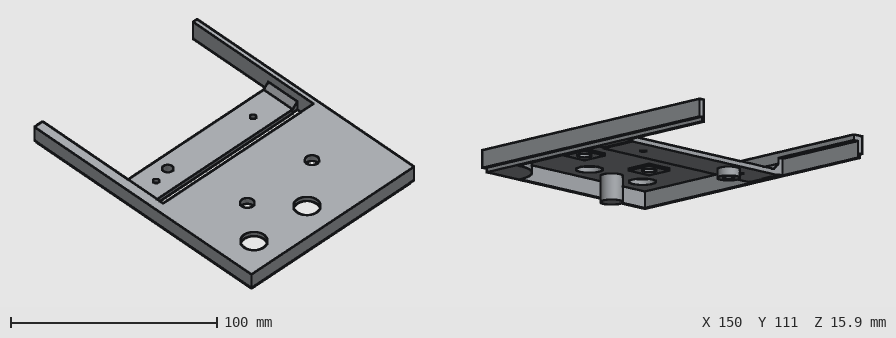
import cadquery as cq
import math

LENGTH = 150.0
WIDTH = 111.0
TOTAL_HEIGHT = 15.9
SKIN = 2.8
SKIRT_DEPTH = 8.8
LIP_DEPTH = 11.1
LIP_INSET = 1.5

BAY_LENGTH = 83.2
FLANGE_WIDTH = 2 * SKIN

BRIDGE_X = 52.0
BRIDGE_WIDTH = 20.1
BRIDGE_TOP = 8.8
BRIDGE_BOTTOM = 11.5
BRIDGE_CHAMFER = 3.1
BRIDGE_PAD_INSET = 2 * SKIN
BRIDGE_HOLE_DIAMETER = 3.1
BRIDGE_HOLE_X = 62.4
BRIDGE_HOLES_Y = (32.1, -34.0)

HOLLOW_PIN_DIAMETER = 11.0
HOLLOW_PIN_BORE = 5.5
HOLLOW_PIN_CENTER = (60.0, -23.7)
SOLID_PIN_DIAMETER = 11.0
SOLID_PIN_CENTER = (135.5, -18.6)

LARGE_HOLE_DIAMETER = 13.2
LARGE_HOLE_CENTERS = ((133.6, -1.5), (133.6, -37.6))
SMALL_HOLE_DIAMETER = 7.0
SMALL_HOLE_CENTERS = ((111.7, 23.5), (111.7, -20.5))
HOLE_PAD_SIZE = 14.1
HOLE_PAD_HEIGHT = 1.0

POST_RADIUS = 19.3
POST_CENTER_Y = 51.6
POST_FLAT_EDGE_Y = 48.7

INNER_X = LENGTH - SKIN
INNER_Y = WIDTH / 2 - SKIN
FLANGE_EDGE_Y = FLANGE_WIDTH - WIDTH / 2


def block(x_range, y_range, depth_range):
    """Box between two X values, two Y values and two depths below the top face."""
    x_min, x_max = x_range
    y_min, y_max = y_range
    top, bottom = depth_range
    size = (x_max - x_min, y_max - y_min, bottom - top)
    return cq.Workplane("XY").box(*size, centered=False).translate((x_min, y_min, -bottom))


def cylinder(center, diameter, top, bottom):
    """Vertical cylinder between two depths below the top face."""
    return (
        cq.Workplane("XY", origin=(*center, -bottom))
        .circle(diameter / 2)
        .extrude(bottom - top)
    )


def make_shell():
    """Plate with two rails and a closed end, open underneath."""
    lip_y = WIDTH / 2 - LIP_INSET
    skirt = block((0, LENGTH), (-WIDTH / 2, WIDTH / 2), (0, SKIRT_DEPTH))
    lip = block((0, LENGTH - LIP_INSET), (-lip_y, lip_y), (SKIRT_DEPTH, LIP_DEPTH))
    cavity = block((0, INNER_X), (-INNER_Y, INNER_Y), (SKIN, LIP_DEPTH))
    bay = block((0, BAY_LENGTH), (FLANGE_EDGE_Y, INNER_Y), (0, SKIN))
    return skirt.union(lip).cut(cavity).cut(bay)


def make_bridge():
    """Strip across the bay with sloped ends and an upright under the -Y flange."""
    pad_y = WIDTH / 2 - BRIDGE_PAD_INSET
    slope_top = -BRIDGE_TOP + BRIDGE_CHAMFER
    profile = [
        (-INNER_Y, -SKIN),
        (-INNER_Y, -LIP_DEPTH),
        (-pad_y, -LIP_DEPTH),
        (-pad_y, -BRIDGE_BOTTOM),
        (pad_y, -BRIDGE_BOTTOM),
        (pad_y, -LIP_DEPTH),
        (INNER_Y, -LIP_DEPTH),
        (INNER_Y, slope_top),
        (INNER_Y - BRIDGE_CHAMFER, -BRIDGE_TOP),
        (FLANGE_EDGE_Y + BRIDGE_CHAMFER, -BRIDGE_TOP),
        (FLANGE_EDGE_Y, slope_top),
        (FLANGE_EDGE_Y, -SKIN),
    ]
    strip = cq.Workplane("YZ", origin=(BRIDGE_X, 0, 0)).polyline(profile).close().extrude(BRIDGE_WIDTH)
    strip = strip.union(cylinder(HOLLOW_PIN_CENTER, HOLLOW_PIN_DIAMETER, BRIDGE_TOP, TOTAL_HEIGHT))
    strip = strip.cut(cylinder(HOLLOW_PIN_CENTER, HOLLOW_PIN_BORE, BRIDGE_TOP, TOTAL_HEIGHT))
    for y in BRIDGE_HOLES_Y:
        strip = strip.cut(cylinder((BRIDGE_HOLE_X, y), BRIDGE_HOLE_DIAMETER, BRIDGE_TOP, BRIDGE_BOTTOM))
    return strip


def make_corner_post():
    """Quarter-round post filling the +X, +Y inner corner."""
    flat_offset = math.sqrt(POST_RADIUS**2 - (POST_CENTER_Y - POST_FLAT_EDGE_Y) ** 2)
    disc = cylinder((INNER_X, POST_CENTER_Y), 2 * POST_RADIUS, SKIN, LIP_DEPTH)
    corner = block(
        (INNER_X - flat_offset, INNER_X),
        (POST_CENTER_Y - POST_RADIUS, INNER_Y),
        (SKIN, LIP_DEPTH),
    )
    return disc.intersect(corner)


def make_hole_pad(center):
    """Square pad under a small plate hole."""
    x, y = center
    half = HOLE_PAD_SIZE / 2
    return block((x - half, x + half), (y - half, y + half), (SKIN, SKIN + HOLE_PAD_HEIGHT))


result = make_shell().union(make_bridge()).union(make_corner_post())
result = result.union(cylinder(SOLID_PIN_CENTER, SOLID_PIN_DIAMETER, SKIN, TOTAL_HEIGHT))

for hole_center in SMALL_HOLE_CENTERS:
    result = result.union(make_hole_pad(hole_center))
    result = result.cut(cylinder(hole_center, SMALL_HOLE_DIAMETER, 0, SKIN + HOLE_PAD_HEIGHT))

for hole_center in LARGE_HOLE_CENTERS:
    result = result.cut(cylinder(hole_center, LARGE_HOLE_DIAMETER, 0, SKIN))